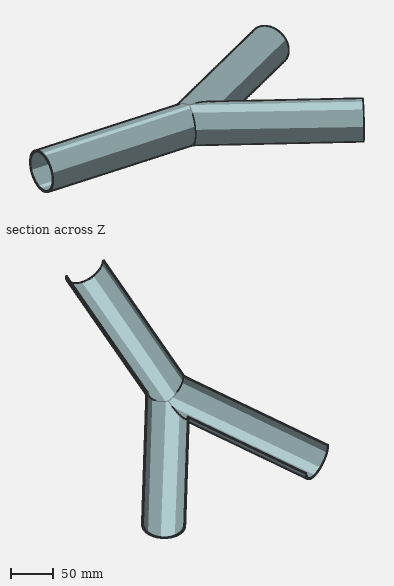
import cadquery as cq
import math

total_length = 392.0
outer_diameter = 51.0
inner_diameter = 47.5
branch_angle = 30.0

outer_radius = outer_diameter / 2
lean = math.radians(branch_angle)
pipe_length = (total_length - outer_radius * math.sin(lean)) / (1 + math.cos(lean))

mitre_slope = math.tan(lean / 2)
reach = 2 * pipe_length

stem_direction = (0, -1, 0)
right_direction = (math.sin(lean), math.cos(lean), 0)

stem_sector = [
    (0, 0),
    (reach, -reach * mitre_slope),
    (reach, -reach),
    (-reach, -reach),
    (-reach, -reach * mitre_slope),
]
right_sector = [
    (0, 0),
    (reach, -reach * mitre_slope),
    (reach, reach),
    (0, reach),
]


def mitred_rod(diameter, direction, sector):
    """Rod centred on the junction, trimmed to its sector by the mitre planes."""
    radius = diameter / 2
    start = cq.Vector(*direction) * -pipe_length
    rod = cq.Solid.makeCylinder(radius, 2 * pipe_length, start, cq.Vector(*direction))
    prism = cq.Workplane("XY").polyline(sector).close().extrude(diameter, both=True)
    return prism.intersect(cq.Workplane(rod))


def mitred_pipe(direction, sector):
    outside = mitred_rod(outer_diameter, direction, sector)
    bore = mitred_rod(inner_diameter, direction, sector)
    return outside.cut(bore)


stem = mitred_pipe(stem_direction, stem_sector)
right_branch = mitred_pipe(right_direction, right_sector)
left_branch = right_branch.mirror("YZ")

result = stem.union(right_branch).union(left_branch)